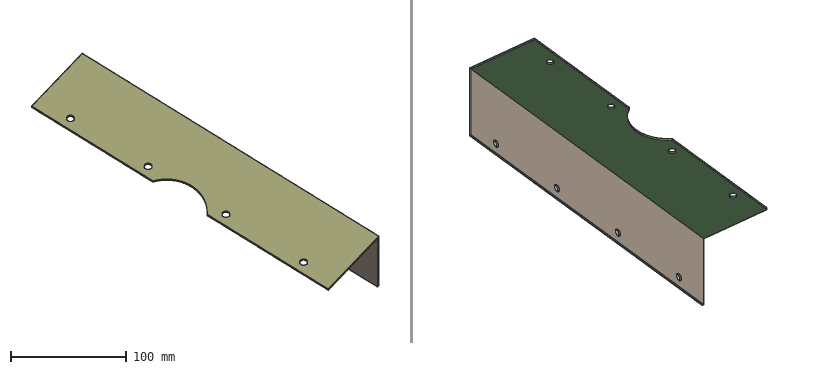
import cadquery as cq

length = 325.0
flange_width = 72.0
thickness = 2.0

hole_diameter = 6.8
hole_count = 4
hole_pitch = 85.0
hole_edge_distance = 10.0

notch_radius = 35.0
notch_depth = 16.2

hole_positions = [(i - (hole_count - 1) / 2) * hole_pitch for i in range(hole_count)]


def angle_profile():
    """L-section extruded along X; free edge at Y = 0, top face at Z = flange_width."""
    top_flange = cq.Workplane("XY").box(
        length, flange_width, thickness, centered=(True, False, False)
    ).translate((0, 0, flange_width - thickness))
    rear_flange = cq.Workplane("XY").box(
        length, thickness, flange_width, centered=(True, False, False)
    ).translate((0, flange_width - thickness, 0))
    return top_flange.union(rear_flange)


def top_hole_cutters():
    points = [(x, hole_edge_distance) for x in hole_positions]
    return (
        cq.Workplane("XY", origin=(0, 0, flange_width))
        .pushPoints(points)
        .circle(hole_diameter / 2)
        .extrude(-thickness)
    )


def rear_hole_cutters():
    points = [(x, hole_edge_distance) for x in hole_positions]
    return (
        cq.Workplane("XZ", origin=(0, flange_width, 0))
        .pushPoints(points)
        .circle(hole_diameter / 2)
        .extrude(thickness)
    )


def notch_cutter():
    return (
        cq.Workplane("XY", origin=(0, notch_depth - notch_radius, flange_width))
        .circle(notch_radius)
        .extrude(-thickness)
    )


result = (
    angle_profile()
    .cut(top_hole_cutters())
    .cut(rear_hole_cutters())
    .cut(notch_cutter())
)